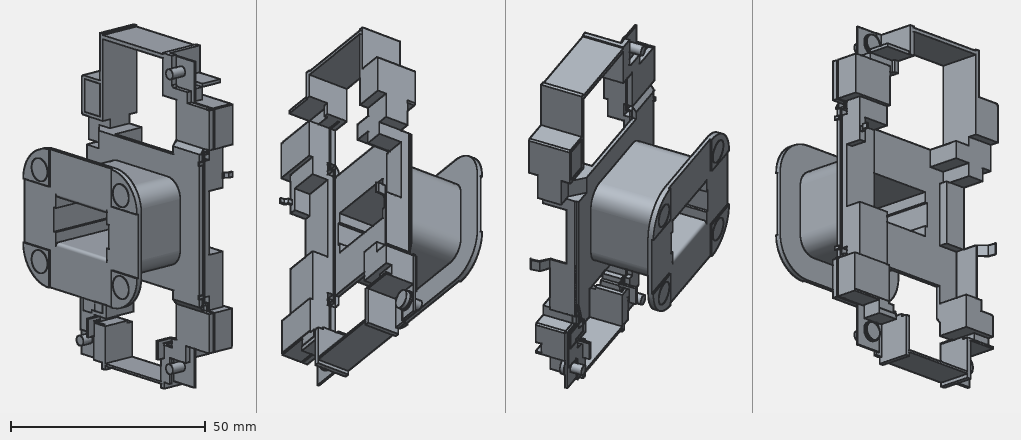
import cadquery as cq
import math


flange_half_width = 21.9
flange_half_height = 18.5
corner_radius = 10.0
flange_front = -22.65
flange_web_front = -22.2
flange_back = -21.1
rear_flange_front = -1.1
disc_offset_x = 15.6
disc_offset_z = 12.3
disc_radius = 3.1
disc_depth = 0.1
winding_width = 28.95
winding_height = 23.6
winding_radius = 4.9
tube_wall = 1.0
core_width = 19.5
core_height = 12.1
core_side_width = 21.0
core_side_height = 6.5
core_lead_in = 0.9

frame_top = 44.05
frame_bottom = -45.85
rear_upper = 11.7
rear_lower = 9.4
rear_middle = 9.2
rear_shelf = 2.4
rear_right_wall = 7.1
plate_end = 18.25
end_wall_top = 43.7
end_wall_thickness = 1.1
left_inner_upper = -16.45
left_post_outer = -17.6
left_side = -21.7
left_leg_inner = -15.2
leg_outer = -20.9
leg_step = -23.1
leg_end = -27.1
leg_tip_outer = -19.3
leaf_thickness = 0.4
left_leaf_height = 3.0
right_leaf_bottom = 12.3
right_leaf_height = 1.35
left_wall_rear = rear_right_wall
box_left = -24.6
box_top = 31.3
box_bottom = 20.7
shelf_bottom = 13.5
waist_top = 9.9
waist_bottom = -7.2
right_post_inner = 6.5
right_post_outer = 10.1
post_back_outer = 7.9
backing_front = 5.2
backing_rear = 11.4
backing_bottom = 36.0
backing_top = 36.9
post_step_depth = 6.1
right_post_bottom = 32.6
right_inner = 11.7
right_side = 21.8
right_end = 24.45
right_step = 23.7
right_wall_step = 16.5
right_rib_inner = 19.8
right_block_depth = 8.2
lower_block_depth = 7.9
upper_block_bottom = 21.85
lower_block_top = -22.0
lower_block_bottom = -32.5
front_edge_right = 16.0
lower_front_right = 15.4
step_top = -31.7
backing_margin = 0.9
foot_inner_left = -15.6
foot_inner_right = 5.8
foot_width = 1.3
lower_wall_thickness = 0.6
front_web = 0.8
column_top = -34.2
column_bottom = -44.1
column_left = -20.05
neck_right = -19.8
column_right = 9.2
lower_box_left = -25.2
lower_box_top = -26.1
lower_box_bottom = -35.3
leg_bottom = -32.0
label_depth = 0.1
label_margin = 1.1
label_edge = 0.9
layer_inset = 0.1
notch_floor = 7.8
notch_bottom = -34.8
corner_cut = 0.5
edge_chamfer = 0.45
lip_overhang = 22.3
nib_offset = 17.9
nib_half_height = 0.45
nib_front = -1.4

left_plate_front = 0.4
left_plate_back = 1.1
right_plate_front = 1.4
right_plate_back = 1.9
middle_strip_front = 0.2
middle_strip_back = 0.7
strip_right = 21.85
jog_height = 20.0
jog_thickness = 0.5
plate_top = end_wall_top
plate_bottom = -plate_top
plate_right = 17.1
seat_top = -37.1
upper_seat_bottom = 35.6
hook_top = -32.3
hook_bar = 0.9
hook_bottom = -37.2
hook_front = -3.1
hook_back = rear_flange_front
hook_width = 0.7
hook_left_x = -19.3
hook_right_x = 7.55
screw_left_x = -22.2
screw_right_x = 12.2
screw_upper_z = 40.1
screw_lower_z = -38.9
stud_radius = 1.35
stud_tip = -2.8
washer_radius = 2.6
washer_thickness = 0.5
head_radius = 2.4
head_rear = 2.8


def block(x_range, y_range, z_range):
    """Box between the given pairs of limits."""
    sizes = [high - low for low, high in (x_range, y_range, z_range)]
    corner = (x_range[0], y_range[0], z_range[0])
    return cq.Workplane("XY").box(*sizes, centered=False).translate(corner)


def plate(outline, front, back):
    """Plate with an outline in X and Z, between two Y planes."""
    return cq.Workplane("XZ", origin=(0, back, 0)).polyline(outline).close().extrude(back - front)


def rod(x, z, radius, front, back):
    """Round bar along Y."""
    return cq.Workplane("XZ", origin=(x, back, z)).circle(radius).extrude(back - front)


def bar_along_x(outline, left, right):
    """Bar along X with a section in Y and Z."""
    return cq.Workplane("YZ", origin=(left, 0, 0)).polyline(outline).close().extrude(right - left)


def upright(outline, bottom, top):
    """Bar along Z with an outline in X and Y."""
    return cq.Workplane("XY", origin=(0, 0, bottom)).polyline(outline).close().extrude(top - bottom)


def centred(width, height, front, back):
    """Rectangular bar along Y, centred on the spool axis."""
    return cq.Workplane("XZ", origin=(0, back, 0)).rect(width, height).extrude(back - front)


def make_front_flange():
    """Front flange with raised rounded corners, each with a shallow round recess."""
    width = 2 * flange_half_width
    height = 2 * flange_half_height
    outline = centred(width, height, flange_front, flange_back).edges("|Y").fillet(corner_radius)
    web = centred(width, height - 2 * corner_radius, flange_front, flange_web_front)
    web = web.union(centred(width - 2 * corner_radius, height, flange_front, flange_web_front))
    flange = outline.cut(web)
    for side in (-1, 1):
        for end in (-1, 1):
            flange = flange.cut(rod(side * disc_offset_x, end * disc_offset_z, disc_radius,
                                    flange_front, flange_front + disc_depth))
    return flange


def make_tube():
    """Rectangular tube that carries the winding and joins both flanges."""
    return centred(core_side_width + 2 * tube_wall, core_height + 2 * tube_wall,
                   flange_back, rear_flange_front)


def cut_core(body):
    """Cross-shaped core passage, its mouth rounded above and below."""
    body = body.cut(centred(core_width, core_height, flange_web_front, rear_shelf))
    body = body.cut(centred(core_side_width, core_side_height, flange_web_front, rear_shelf))
    diagonal = core_lead_in * math.sqrt(0.5)
    for end in (-1, 1):
        wall = end * core_height / 2
        lip = wall + end * core_lead_in
        inner = flange_web_front + core_lead_in
        middle = (inner - diagonal, lip - end * diagonal)
        mouth = (
            cq.Workplane("YZ", origin=(-core_width / 2, 0, 0))
            .moveTo(flange_web_front, lip)
            .threePointArc(middle, (inner, wall))
            .lineTo(flange_web_front, wall)
            .close()
            .extrude(core_width)
        )
        body = body.cut(mouth)
    return body


def make_rear_flange():
    """Two-layer plate behind the winding, with legs along both sides."""
    step = rear_flange_front / 2
    wedge_outer = -20.6
    wedge_inner = -16.9
    taper_top = -19.2
    taper_bottom = -26.0
    lip_slope = 1.6
    leg_slope = 1.3
    back_layer = plate(
        [(wedge_inner, shelf_bottom), (wedge_inner, plate_end),
         (right_side, plate_end), (right_side, -plate_end), (left_leg_inner, -plate_end),
         (left_leg_inner, leg_end), (leg_tip_outer, leg_end), (leg_tip_outer, lower_box_top),
         (leg_outer, lower_box_top), (leg_outer, leg_step),
         (left_side + layer_inset, leg_step), (left_side + layer_inset, shelf_bottom)],
        step, 0)
    front_layer = plate(
        [(wedge_inner, shelf_bottom), (wedge_inner, plate_end), (right_side, plate_end),
         (right_side, -plate_end), (left_leg_inner, -plate_end),
         (left_leg_inner, leg_end), (leg_tip_outer, leg_end), (leg_tip_outer, taper_bottom),
         (left_side + 2 * layer_inset, taper_top), (left_side + 2 * layer_inset, shelf_bottom)],
        rear_flange_front, step)
    flange = back_layer.union(front_layer)
    corner = upright(
        [(wedge_outer, rear_shelf), (wedge_inner, rear_flange_front), (wedge_inner, rear_shelf)],
        shelf_bottom, plate_end)
    flange = flange.union(corner)
    flange = flange.union(block((wedge_inner, left_leg_inner), (0, rear_shelf), (shelf_bottom, plate_end)))
    for end, tip, root in ((0.9, upper_block_bottom, plate_end), (-0.9, lower_block_top, -plate_end)):
        slope_start = tip - end * lip_slope
        flange = flange.union(bar_along_x(
            [(0, slope_start), (rear_flange_front, slope_start), (0, tip)], right_inner, lip_overhang))
        flange = flange.union(block((right_inner, right_side), (rear_flange_front, 0),
                                    sorted((root, slope_start))))
    flange = flange.union(bar_along_x(
        [(0, leg_end), (rear_flange_front, leg_end), (0, leg_end - leg_slope)],
        leg_tip_outer, left_leg_inner))
    for end in (-1, 1):
        middle = end * nib_offset
        flange = flange.union(block((right_side, lip_overhang), (nib_front, 0),
                                    (middle - nib_half_height, middle + nib_half_height)))
    peg_left = -20.1
    peg_front = -1.8
    peg_bottom = -25.2
    peg_size = 0.45
    peg = block((peg_left, peg_left + peg_size), (peg_front, step), (peg_bottom, peg_bottom + peg_size))
    return flange.union(peg)


def make_left_side():
    """Upper left post, its box and the stepped wall below it."""
    side = block((left_post_outer, left_inner_upper), (0, rear_upper), (box_bottom, frame_top))
    box = block((box_left, left_inner_upper), (0, rear_shelf), (box_bottom, box_top))
    box = box.edges("|Y and <X").chamfer(edge_chamfer)
    box_rear = block((box_left, left_inner_upper), (rear_shelf, rear_upper), (box_bottom, box_top))
    box = box.union(box_rear.edges("|Y and <X and >Z").chamfer(edge_chamfer))
    label = block((box_left + label_margin, left_post_outer), (0, label_depth),
                  (box_bottom + label_edge, box_top - label_edge))
    side = side.union(box.cut(label))
    side = side.union(block((box_left, left_inner_upper), (rear_shelf, rear_middle),
                            (shelf_bottom, box_bottom)))
    side = side.union(block((left_inner_upper, -right_inner), (0, rear_middle), (shelf_bottom, plate_end)))
    side = side.union(block((left_side, left_inner_upper), (0, rear_middle), (waist_top, shelf_bottom)))
    side = side.union(block((left_side, left_leg_inner), (0, rear_shelf), (waist_bottom, waist_top)))
    side = side.union(block((left_side, left_side + leaf_thickness), (0, left_wall_rear),
                            (leg_step, waist_bottom)))
    return side


def make_left_leaf():
    """Bent contact leaf standing off the rear of the left side."""
    bend = (-23.9, 8.9)
    knee = (-24.2, 11.15)
    tip_x = -23.9
    path = [(left_side, left_wall_rear), bend, knee, (tip_x, rear_upper)]
    back = [
        (tip_x + leaf_thickness, rear_upper),
        (knee[0] + leaf_thickness, knee[1] + leaf_thickness),
        (bend[0] + leaf_thickness, bend[1] + leaf_thickness),
        (left_side + leaf_thickness, left_wall_rear),
    ]
    return upright(path + back, waist_bottom - left_leaf_height, waist_bottom)


def make_right_leaf():
    """Small bent leaf behind the right-hand wall."""
    width = 0.5
    root_x = 20.95
    tip_x = 21.8
    bend_start = 8.3
    bend_end = 9.0
    tip_y = 10.1
    path = [(root_x, rear_right_wall), (root_x, bend_start), (tip_x, bend_end), (tip_x, tip_y),
            (tip_x + width, tip_y), (tip_x + width, bend_end - leaf_thickness),
            (root_x + width, bend_start - leaf_thickness), (root_x + width, rear_right_wall)]
    return upright(path, right_leaf_bottom, right_leaf_bottom + right_leaf_height)


def make_upper_end():
    """Top wall and the upper right post, cut back in front for a terminal screw."""
    wall = block((left_inner_upper, right_post_inner), (0, rear_upper),
                 (end_wall_top - end_wall_thickness, end_wall_top))
    post = block((right_post_inner, post_back_outer), (0, rear_upper), (backing_bottom, frame_top))
    post = post.union(block((right_post_inner, post_back_outer), (0, post_step_depth),
                            (right_post_bottom, backing_bottom)))
    post = post.union(block((post_back_outer, right_post_outer), (0, right_plate_front),
                            (right_post_bottom, frame_top)))
    front = plate(
        [(right_post_outer, right_post_bottom), (front_edge_right, right_post_bottom),
         (front_edge_right, upper_seat_bottom), (right_post_outer + corner_cut, upper_seat_bottom),
         (right_post_outer, upper_seat_bottom + corner_cut)],
        0, right_plate_front)
    backing = block((post_back_outer, front_edge_right), (backing_front, backing_rear),
                    (backing_bottom, backing_top))
    backing = backing.union(block((post_back_outer, front_edge_right), (right_plate_back, backing_front),
                                  (right_post_bottom, backing_bottom)))
    return wall.union(post).union(front).union(backing)


def make_right_side():
    """Two right-hand blocks and the wall between them, slotted for the terminal strip."""
    upper = block((right_inner, right_end), (0, right_block_depth), (upper_block_bottom, right_post_bottom))
    upper = upper.cut(block((right_step, right_end), (0, right_block_depth),
                            (right_post_bottom - layer_inset, right_post_bottom)))
    lower = block((right_inner, right_end), (0, lower_block_depth), (lower_block_bottom, lower_block_top))
    wall = block((right_inner, right_side), (rear_shelf, rear_right_wall),
                 (right_wall_step, upper_block_bottom))
    wall = wall.union(block((right_rib_inner, right_side), (rear_shelf, rear_right_wall),
                            (waist_top, right_wall_step)))
    wall = wall.union(block((right_inner, right_side), (rear_shelf, rear_right_wall),
                            (lower_block_top, waist_bottom)))
    shelf = block((right_inner, right_side), (0, rear_shelf), (-plate_end, plate_end))
    side = upper.union(lower).union(wall).union(shelf)
    for low, high in ((upper_block_bottom, right_post_bottom), (lower_block_bottom, lower_block_top)):
        side = side.cut(block((right_inner, right_end), (right_plate_front, right_plate_back), (low, high)))
    return side


def make_lower_left():
    """Lower left box, leg, column and foot."""
    box = block((lower_box_left, column_left), (0, rear_lower), (lower_box_bottom, lower_box_top))
    box = box.edges("|Y and <X and >Z").chamfer(edge_chamfer)
    box = box.union(block((column_left, foot_inner_left), (left_plate_back, rear_lower),
                          (lower_box_bottom, column_top)))
    leg = block((leg_outer, left_leg_inner), (left_plate_back, rear_lower), (leg_bottom, leg_step))
    leg = leg.union(block((leg_outer + layer_inset, left_leg_inner), (0, left_plate_back),
                          (leg_bottom, leg_step)))
    column = block((column_left, foot_inner_left), (0, front_web), (column_bottom, column_top))
    neck = block((column_left, neck_right), (0, rear_lower), (column_top, leg_bottom))
    foot = block((foot_inner_left - foot_width, foot_inner_left), (0, rear_lower), (frame_bottom, column_top))
    front = plate(
        [(lower_box_left, lower_box_bottom), (column_left, lower_box_bottom),
         (column_left, seat_top - corner_cut), (column_left - corner_cut, seat_top),
         (lower_box_left, seat_top)],
        0, left_plate_front)
    label_left = lower_box_left + label_margin
    label_right = -16.7
    label_step = -30.9
    label = plate(
        [(label_left, leg_end), (label_right, leg_end), (label_right, label_step), (leg_outer, label_step),
         (leg_outer, step_top), (label_left, step_top)],
        0, label_depth)
    return box.union(leg).union(column).union(neck).union(foot).union(front).cut(label)


def make_lower_right():
    """Lower right column and foot, and the bottom wall."""
    column = block((foot_inner_right, column_right), (0, front_web), (column_bottom, column_top))
    foot = block((foot_inner_right, foot_inner_right + foot_width), (0, rear_lower),
                 (frame_bottom, column_top))
    front = plate(
        [(column_right, seat_top), (lower_front_right, seat_top), (lower_front_right, lower_block_bottom),
         (right_inner, lower_block_bottom), (right_inner, step_top), (right_post_outer, step_top),
         (right_post_outer, column_top), (column_right, column_top)],
        0, right_plate_front)
    backing = block((right_post_outer, lower_front_right), (rear_shelf, lower_block_depth),
                    (seat_top + backing_margin, lower_block_bottom))
    backing = backing.union(block((column_right, right_post_outer), (rear_shelf, lower_block_depth),
                                  (seat_top + backing_margin, column_top)))
    wall = block((foot_inner_left, foot_inner_right), (0, rear_lower),
                 (column_bottom - lower_wall_thickness, column_bottom))
    return column.union(foot).union(front).union(backing).union(wall)


def make_housing():
    """Frame and spool in one piece, with the core passage through the spool."""
    body = make_rear_flange()
    for part in (make_front_flange(), make_tube(), make_left_side(), make_left_leaf(), make_right_leaf(),
                 make_upper_end(), make_right_side(), make_lower_left(), make_lower_right()):
        body = body.union(part)
    body = body.cut(block((lower_box_left, right_end), (notch_floor, rear_lower), (notch_bottom, leg_bottom)))
    return cut_core(body)


def make_winding():
    """Solid coil between the flanges, around the tube."""
    winding = centred(winding_width, winding_height, flange_back, rear_flange_front)
    return winding.edges("|Y").fillet(winding_radius).cut(make_tube())


def make_hook(x, plate_back):
    """Wire hook bent forward from a terminal plate and turned down."""
    bar = block((x, x + hook_width), (hook_front, plate_back), (hook_top - hook_bar, hook_top))
    return bar.union(block((x, x + hook_width), (hook_front, hook_back), (hook_bottom, hook_top)))


def make_left_terminal():
    """Plate under the left-hand screw, with a wire hook."""
    terminal = block((lower_box_left, column_left), (left_plate_front, left_plate_back),
                     (plate_bottom, lower_box_top))
    terminal = terminal.union(block((column_left, hook_left_x), (left_plate_front, left_plate_back),
                                    (hook_top - hook_bar, hook_top)))
    return terminal.union(make_hook(hook_left_x, left_plate_back))


def make_right_terminal():
    """Strip joining the two right-hand screws, stepped forward through the rear flange."""
    upper = plate(
        [(right_post_outer, plate_top), (plate_right, plate_top), (plate_right, right_post_bottom),
         (strip_right, right_post_bottom), (strip_right, jog_height), (right_inner, jog_height),
         (right_inner, right_post_bottom), (right_post_outer, upper_seat_bottom)],
        right_plate_front, right_plate_back)
    lower = plate(
        [(column_right, plate_bottom), (plate_right, plate_bottom), (plate_right, lower_block_bottom),
         (strip_right, lower_block_bottom), (strip_right, -jog_height), (right_inner, -jog_height),
         (right_inner, hook_top), (hook_right_x, hook_top), (hook_right_x, hook_top - hook_bar),
         (right_post_outer, hook_top - hook_bar), (right_post_outer, seat_top), (column_right, seat_top)],
        right_plate_front, right_plate_back)
    strip = block((right_inner, strip_right), (middle_strip_front, middle_strip_back),
                  (-jog_height, jog_height))
    terminal = upper.union(lower).union(strip)
    for low in (jog_height, -jog_height - jog_thickness):
        terminal = terminal.union(block((right_inner, strip_right), (middle_strip_front, right_plate_back),
                                        (low, low + jog_thickness)))
    return terminal.union(make_hook(hook_right_x, right_plate_back))


def make_screw(x, z, seat):
    """Terminal screw: head behind the plate, stud through it to the front."""
    washer = rod(x, z, washer_radius, seat, seat + washer_thickness)
    head = washer.union(rod(x, z, head_radius, seat + washer_thickness, head_rear))
    return head.union(rod(x, z, stud_radius, stud_tip, seat))


screws = [
    make_screw(screw_left_x, screw_lower_z, left_plate_back),
    make_screw(screw_right_x, screw_lower_z, right_plate_back),
    make_screw(screw_right_x, screw_upper_z, right_plate_back),
]
winding = make_winding()
terminals = [make_left_terminal(), make_right_terminal()]
housing = make_housing()
for terminal in terminals:
    housing = housing.cut(terminal)
for screw in screws:
    housing = housing.cut(screw)
    terminals = [terminal.cut(screw) for terminal in terminals]

result = cq.Compound.makeCompound([
    housing.val(),
    winding.val(),
    *[terminal.val() for terminal in terminals],
    *[screw.val() for screw in screws],
])